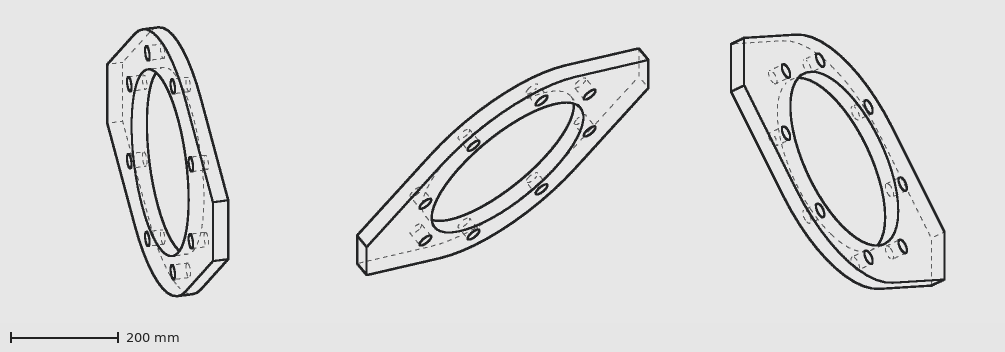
import cadquery as cq
import math

plate_length = 650.0
plate_thickness = 30.0
rim_diameter = 500.0
end_height = 120.0
bore_diameter = 350.0
bolt_circle_diameter = 410.0
bolt_hole_diameter = 27.0
bolt_hole_count = 8

rim_radius = rim_diameter / 2
half_length = plate_length / 2
half_end = end_height / 2
corner_distance = math.hypot(half_length, half_end)
tangent_angle = math.atan2(half_end, half_length) + math.acos(rim_radius / corner_distance)
tangent_x = rim_radius * math.cos(tangent_angle)
tangent_z = rim_radius * math.sin(tangent_angle)

first_hole_angle = 180.0 / bolt_hole_count


def plate_blank():
    """Round plate drawn out to a flat end on each side, centred on the origin."""
    return (
        cq.Workplane("XZ")
        .moveTo(half_length, -half_end)
        .lineTo(half_length, half_end)
        .lineTo(tangent_x, tangent_z)
        .threePointArc((0, rim_radius), (-tangent_x, tangent_z))
        .lineTo(-half_length, half_end)
        .lineTo(-half_length, -half_end)
        .lineTo(-tangent_x, -tangent_z)
        .threePointArc((0, -rim_radius), (tangent_x, -tangent_z))
        .close()
        .extrude(plate_thickness / 2, both=True)
    )


def bore():
    """Cylinder for the central through opening."""
    return cq.Workplane("XZ").circle(bore_diameter / 2).extrude(plate_thickness / 2, both=True)


def bolt_holes():
    """Cylinders for the ring of through bolt holes."""
    return (
        cq.Workplane("XZ")
        .polarArray(bolt_circle_diameter / 2, first_hole_angle, 360, bolt_hole_count)
        .circle(bolt_hole_diameter / 2)
        .extrude(plate_thickness / 2, both=True)
    )


result = plate_blank().cut(bore()).cut(bolt_holes())